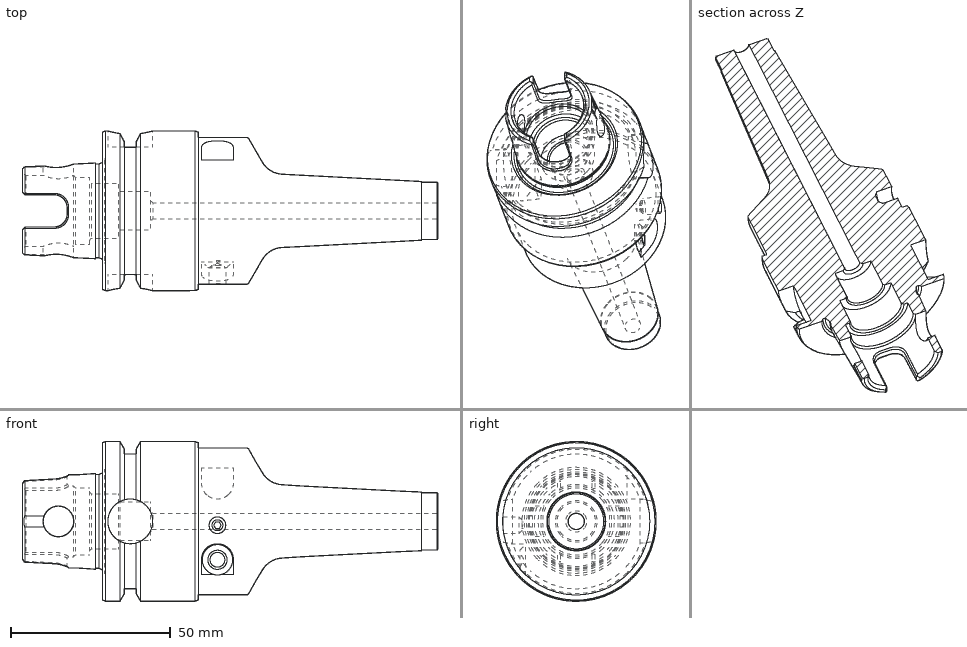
import cadquery as cq
import math


SHANK_LENGTH = 25.0
SHANK_BASE_RADIUS = 15.0
SHANK_TAPER = 0.05
SHANK_TIP_CHAMFER = 0.8
NECK_RADIUS = 14.7
NECK_LENGTH = 2.1
FLARE_START = 1.0
FLARE_RADIUS = 15.5
RECESS_RADIUS = 16.25
RECESS_DEPTH = 0.7
RECESS_CHAMFER = 0.7

FLANGE_RADIUS = 25.0
FLANGE_END = 30.0
FLANGE_EDGE_AXIAL = 1.0
FLANGE_EDGE_RADIAL = 0.4
GROOVE_CENTRE = 8.75
GROOVE_ROOT_RADIUS = 21.1
GROOVE_ROOT_WIDTH = 3.6
GROOVE_FLANK_WIDTH = 1.4
GROOVE_FLANK_ANGLE = 60.0

BODY_RADIUS = 23.0
SHOULDER_ANGLE = 60.0
SHOULDER_EDGE_RADIUS = 1.0
NOSE_BLEND_RADIUS = 7.6
NOSE_START = 56.2
NOSE_START_RADIUS = 11.5
NOSE_ANGLE = 3.0
NOSE_END = 99.7
COLLAR_RADIUS = 9.0
COLLAR_CHAMFER = 0.4
TIP_X = 105.0

RIM_RADIUS = 11.9
RIM_CHAMFER = 0.8
RIM_CHAMFER_LENGTH = 1.1
MOUTH_RADIUS = RIM_RADIUS - RIM_CHAMFER
MOUTH_END = -9.0
MAIN_BORE_RADIUS = 10.5
MAIN_BORE_END = -4.0
STEP_RADIUS = 8.6
STEP_CHAMFER = 0.6
STEP_END = 5.0
COUNTERBORE_RADIUS = 6.0
COUNTERBORE_CHAMFER = 0.5
COUNTERBORE_END = 15.0
THROUGH_RADIUS = 2.5
THROUGH_CHAMFER = 0.8

SLOT_WIDTH = 10.0
SLOT_END = -11.0
SLOT_CORNER_RADIUS = 4.0
SLOT_CHAMFER = 0.5
SLOT_MOUTH_CHAMFER = 0.9
CROSS_HOLE_DIAMETER = 9.5
CROSS_HOLE_X = -13.7
FLAT_WIDTH = 3.5
FLAT_DISTANCE = 13.65

ROUND_POCKET_DIAMETER = 14.0
ROUND_POCKET_FLOOR = 19.9

PLUG_X = 36.0
PLUG_Z = 12.0
SIDE_POCKET_WIDTH = 10.0
SIDE_POCKET_FLOOR = 15.9
PLUG_BASE_RADIUS = 4.75
PLUG_TOP_RADIUS = 3.0
PLUG_HEIGHT = 1.75
PLUG_SINK = 0.5
PLUG_SEAT_RADIUS = 2.31
PLUG_SEAT_ANGLE = 60.0
SET_HOLE_DIAMETER = 5.2
SET_HOLE_Z = -1.2
SET_HOLE_FLOOR = 17.0
SET_HOLE_TAPER = 0.9
SET_SOCKET_DIAMETER = 2.31
SET_SOCKET_DEPTH = 1.5


def sin_deg(angle):
    return math.sin(math.radians(angle))


def cos_deg(angle):
    return math.cos(math.radians(angle))


def tan_deg(angle):
    return math.tan(math.radians(angle))


def cylinder_y(diameter, x, z, y_from, y_to):
    """Cylinder along Y between two Y positions."""
    disc = cq.Workplane("XZ", origin=(x, y_from, z)).circle(diameter / 2)
    return disc.extrude(y_from - y_to)


def outer_shape():
    tip_radius = SHANK_BASE_RADIUS - SHANK_TAPER * (SHANK_LENGTH - SHANK_TIP_CHAMFER - NECK_LENGTH)

    root_half = GROOVE_ROOT_WIDTH / 2
    mouth_half = root_half + GROOVE_FLANK_WIDTH
    flank_radius = FLANGE_RADIUS - GROOVE_FLANK_WIDTH * tan_deg(GROOVE_FLANK_ANGLE)

    blend_x = NOSE_START + NOSE_BLEND_RADIUS * sin_deg(NOSE_ANGLE)
    blend_r = NOSE_START_RADIUS + NOSE_BLEND_RADIUS * cos_deg(NOSE_ANGLE)

    def blend_point(angle):
        return (blend_x - NOSE_BLEND_RADIUS * sin_deg(angle),
                blend_r - NOSE_BLEND_RADIUS * cos_deg(angle))

    cone_end = blend_point(SHOULDER_ANGLE)

    corner_x = cone_end[0] - (BODY_RADIUS - cone_end[1]) / tan_deg(SHOULDER_ANGLE)
    edge_x = corner_x - SHOULDER_EDGE_RADIUS * tan_deg(SHOULDER_ANGLE / 2)
    edge_r = BODY_RADIUS - SHOULDER_EDGE_RADIUS

    def edge_point(angle):
        return (edge_x + SHOULDER_EDGE_RADIUS * sin_deg(angle),
                edge_r + SHOULDER_EDGE_RADIUS * cos_deg(angle))

    nose_end_radius = NOSE_START_RADIUS - (NOSE_END - NOSE_START) * tan_deg(NOSE_ANGLE)

    profile = (
        cq.Workplane("XY")
        .moveTo(-SHANK_LENGTH, 0)
        .lineTo(-SHANK_LENGTH, tip_radius - SHANK_TIP_CHAMFER)
        .lineTo(-SHANK_LENGTH + SHANK_TIP_CHAMFER, tip_radius)
        .lineTo(-NECK_LENGTH, SHANK_BASE_RADIUS)
        .lineTo(-NECK_LENGTH, NECK_RADIUS)
        .lineTo(-FLARE_START, NECK_RADIUS)
        .lineTo(RECESS_DEPTH, FLARE_RADIUS)
        .lineTo(RECESS_DEPTH, RECESS_RADIUS)
        .lineTo(0, RECESS_RADIUS + RECESS_CHAMFER)
        .lineTo(0, FLANGE_RADIUS - FLANGE_EDGE_RADIAL)
        .lineTo(FLANGE_EDGE_AXIAL, FLANGE_RADIUS)
        .lineTo(GROOVE_CENTRE - mouth_half, FLANGE_RADIUS)
        .lineTo(GROOVE_CENTRE - root_half, flank_radius)
        .lineTo(GROOVE_CENTRE - root_half, GROOVE_ROOT_RADIUS)
        .lineTo(GROOVE_CENTRE + root_half, GROOVE_ROOT_RADIUS)
        .lineTo(GROOVE_CENTRE + root_half, flank_radius)
        .lineTo(GROOVE_CENTRE + mouth_half, FLANGE_RADIUS)
        .lineTo(FLANGE_END - FLANGE_EDGE_AXIAL, FLANGE_RADIUS)
        .lineTo(FLANGE_END, FLANGE_RADIUS - FLANGE_EDGE_RADIAL)
        .lineTo(FLANGE_END, BODY_RADIUS)
        .lineTo(*edge_point(0))
        .threePointArc(edge_point(SHOULDER_ANGLE / 2), edge_point(SHOULDER_ANGLE))
        .lineTo(*cone_end)
        .threePointArc(blend_point((SHOULDER_ANGLE + NOSE_ANGLE) / 2), blend_point(NOSE_ANGLE))
        .lineTo(NOSE_END, nose_end_radius)
        .lineTo(NOSE_END, COLLAR_RADIUS)
        .lineTo(TIP_X - COLLAR_CHAMFER, COLLAR_RADIUS)
        .lineTo(TIP_X, COLLAR_RADIUS - COLLAR_CHAMFER)
        .lineTo(TIP_X, 0)
        .close()
    )
    return profile.revolve(360, (0, 0, 0), (1, 0, 0))


def bore():
    """Stepped bore, narrowing from the shank mouth to a through hole."""
    profile = (
        cq.Workplane("XY")
        .moveTo(-SHANK_LENGTH, 0)
        .lineTo(-SHANK_LENGTH, RIM_RADIUS)
        .lineTo(-SHANK_LENGTH + RIM_CHAMFER_LENGTH, MOUTH_RADIUS)
        .lineTo(MOUTH_END, MOUTH_RADIUS)
        .lineTo(MOUTH_END + MOUTH_RADIUS - MAIN_BORE_RADIUS, MAIN_BORE_RADIUS)
        .lineTo(MAIN_BORE_END, MAIN_BORE_RADIUS)
        .lineTo(MAIN_BORE_END, STEP_RADIUS + STEP_CHAMFER)
        .lineTo(MAIN_BORE_END + STEP_CHAMFER, STEP_RADIUS)
        .lineTo(STEP_END, STEP_RADIUS)
        .lineTo(STEP_END, COUNTERBORE_RADIUS + COUNTERBORE_CHAMFER)
        .lineTo(STEP_END + COUNTERBORE_CHAMFER, COUNTERBORE_RADIUS)
        .lineTo(COUNTERBORE_END, COUNTERBORE_RADIUS)
        .lineTo(COUNTERBORE_END, THROUGH_RADIUS + THROUGH_CHAMFER)
        .lineTo(COUNTERBORE_END + THROUGH_CHAMFER, THROUGH_RADIUS)
        .lineTo(TIP_X, THROUGH_RADIUS)
        .lineTo(TIP_X, 0)
        .close()
    )
    return profile.revolve(360, (0, 0, 0), (1, 0, 0))


def drive_slot():
    """Slot through the shank along Z, open at the shank mouth."""
    overrun = 2 * SLOT_CORNER_RADIUS
    length = SHANK_LENGTH + SLOT_END + overrun
    slot = cq.Workplane("XY").box(length, SLOT_WIDTH, 2 * FLANGE_RADIUS)
    slot = slot.edges("|Z").fillet(SLOT_CORNER_RADIUS)
    return slot.translate((SLOT_END - length / 2, 0, 0))


def chamfer_slot(part):
    """Break the edges where the slot walls meet the outside and the bore of the shank."""
    mouth_x = -SHANK_LENGTH + SHANK_TIP_CHAMFER
    half_width = SLOT_WIDTH / 2
    for side in (-1, 1):
        walls = cq.selectors.BoxSelector(
            (mouth_x, -half_width - SLOT_CHAMFER, side * STEP_RADIUS),
            (SLOT_END + SLOT_CHAMFER, half_width + SLOT_CHAMFER, side * SHANK_BASE_RADIUS),
        )
        part = part.edges(walls).edges("not |Z").chamfer(SLOT_CHAMFER)
    return part


def slot_mouth():
    """Wedge that widens the slot at the end face of the shank."""
    half_width = SLOT_WIDTH / 2
    wedge = (
        cq.Workplane("XY", origin=(-SHANK_LENGTH, 0, -FLANGE_RADIUS))
        .moveTo(0, half_width + SLOT_MOUTH_CHAMFER)
        .lineTo(half_width + SLOT_MOUTH_CHAMFER, 0)
        .lineTo(0, -half_width - SLOT_MOUTH_CHAMFER)
        .close()
    )
    return wedge.extrude(2 * FLANGE_RADIUS)


def shank_flat(side):
    flat = cq.Workplane("XY").box(
        SHANK_LENGTH + CROSS_HOLE_X, SHANK_BASE_RADIUS, FLAT_WIDTH, centered=(False, False, True)
    )
    flat = flat.translate((-SHANK_LENGTH, FLAT_DISTANCE, 0))
    return flat if side > 0 else flat.mirror("XZ")


def side_pocket():
    """U-shaped pocket on the -Y side, open towards -Z."""
    depth = BODY_RADIUS - SIDE_POCKET_FLOOR
    half = SIDE_POCKET_WIDTH / 2
    outline = (
        cq.Workplane("XZ", origin=(PLUG_X, -SIDE_POCKET_FLOOR, -PLUG_Z))
        .moveTo(half, 0)
        .threePointArc((0, half), (-half, 0))
        .lineTo(-half, -BODY_RADIUS)
        .lineTo(half, -BODY_RADIUS)
        .close()
    )
    return outline.extrude(depth)


def coolant_plug():
    """Conical plug on the pocket floor with a conical seat in its face."""
    seat_depth = PLUG_SEAT_RADIUS / tan_deg(PLUG_SEAT_ANGLE)
    profile = (
        cq.Workplane("XY")
        .moveTo(0, PLUG_SINK)
        .lineTo(PLUG_BASE_RADIUS, PLUG_SINK)
        .lineTo(PLUG_BASE_RADIUS, 0)
        .lineTo(PLUG_TOP_RADIUS, -PLUG_HEIGHT)
        .lineTo(PLUG_SEAT_RADIUS, -PLUG_HEIGHT)
        .lineTo(0, seat_depth - PLUG_HEIGHT)
        .close()
    )
    plug = profile.revolve(360, (0, 0, 0), (0, 1, 0))
    return plug.translate((PLUG_X, -SIDE_POCKET_FLOOR, -PLUG_Z))


def set_screw_hole():
    hole = cylinder_y(SET_HOLE_DIAMETER, PLUG_X, SET_HOLE_Z, -SET_HOLE_FLOOR, -FLANGE_RADIUS)
    hole = hole.faces(">Y").chamfer(SET_HOLE_TAPER)
    socket = (
        cq.Workplane("XZ", origin=(PLUG_X, -SET_HOLE_FLOOR, SET_HOLE_Z))
        .polygon(6, SET_SOCKET_DIAMETER)
        .extrude(-SET_SOCKET_DEPTH)
    )
    return hole.union(socket)


result = outer_shape().cut(bore())
result = chamfer_slot(result.cut(drive_slot()))
result = result.cut(slot_mouth())
result = result.cut(cylinder_y(CROSS_HOLE_DIAMETER, CROSS_HOLE_X, 0, -FLANGE_RADIUS, FLANGE_RADIUS))

for side in (-1, 1):
    result = result.cut(shank_flat(side))
    floor_y = side * ROUND_POCKET_FLOOR
    rim_y = side * FLANGE_RADIUS
    result = result.cut(cylinder_y(ROUND_POCKET_DIAMETER, GROOVE_CENTRE, 0, floor_y, rim_y))

result = result.cut(side_pocket())
result = result.cut(side_pocket().rotate((0, 0, 0), (1, 0, 0), 180))
result = result.union(coolant_plug())
result = result.cut(set_screw_hole())